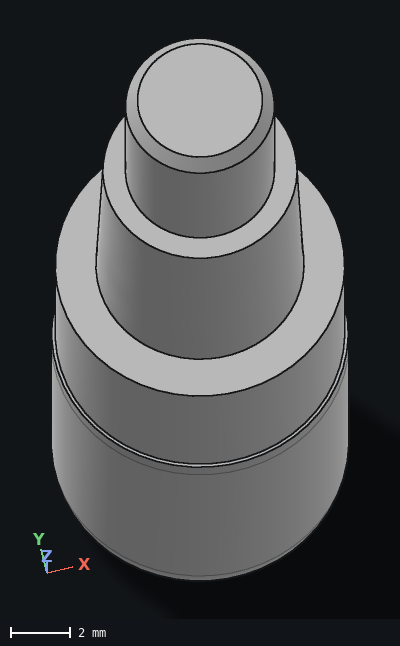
import cadquery as cq

total_height = 29.1
cap_height = 10.6
shoulder_height = 16.0
taper_top_height = 23.55

cap_radius = 5.0
cap_bottom_fillet = 2.0
cap_rim_radius = 4.98
cap_bevel_height = 0.52

collar_radius = 4.85
neck_base_radius = 3.5
neck_top_radius = 3.25
pin_radius = 2.5
pin_chamfer_height = 0.4
pin_chamfer_width = 0.4


def make_cap():
    """Solid cap with a rounded lower edge and a steep bevel at its rim."""
    bevel_start = cap_height - cap_bevel_height
    return (
        cq.Workplane("XZ")
        .lineTo(cap_radius - cap_bottom_fillet, 0)
        .radiusArc((cap_radius, cap_bottom_fillet), -cap_bottom_fillet)
        .lineTo(cap_radius, bevel_start)
        .lineTo(cap_rim_radius, cap_height)
        .lineTo(0, cap_height)
        .close()
        .revolve(360, (0, 0), (0, 1))
    )


def make_plunger():
    """Stepped plunger standing on the flat top of the cap."""
    return (
        cq.Workplane("XZ")
        .moveTo(0, cap_height)
        .lineTo(collar_radius, cap_height)
        .lineTo(collar_radius, shoulder_height)
        .lineTo(neck_base_radius, shoulder_height)
        .lineTo(neck_top_radius, taper_top_height)
        .lineTo(pin_radius, taper_top_height)
        .lineTo(pin_radius, total_height - pin_chamfer_height)
        .lineTo(pin_radius - pin_chamfer_width, total_height)
        .lineTo(0, total_height)
        .close()
        .revolve(360, (0, 0), (0, 1))
    )


cap = make_cap()
plunger = make_plunger()

result = cq.Compound.makeCompound([cap.val(), plunger.val()])